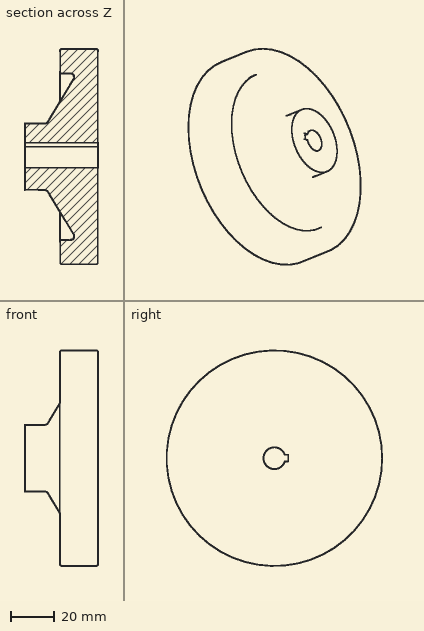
import cadquery as cq
import math

rim_radius = 50.0
rim_inner_radius = 38.5
rim_front = 16.2
back = 34.0
rim_edge_radius = 1.0

hub_radius = 15.5
hub_length = 10.2
cone_half_angle = 59.0
web_fillet = 1.5

bore_radius = 5.0
key_width = 3.0
key_reach = 6.4

cone_rise = rim_inner_radius - hub_radius
groove_depth = hub_length + cone_rise / math.tan(math.radians(cone_half_angle))


def circles_within(x, radius):
    """Select the circular edges at position x that are no larger than radius."""
    tolerance = 0.1
    low = (x - tolerance, -radius - tolerance, -radius - tolerance)
    high = (x + tolerance, radius + tolerance, radius + tolerance)
    return cq.selectors.BoxSelector(low, high, boundingbox=True)


def make_wheel():
    """Revolve the half section, drawn as (x, radius), about the X axis."""
    return (
        cq.Workplane("XY")
        .polyline([
            (0, 0),
            (0, hub_radius),
            (hub_length, hub_radius),
            (groove_depth, rim_inner_radius),
            (rim_front, rim_inner_radius),
            (rim_front, rim_radius),
            (back, rim_radius),
            (back, 0),
        ])
        .close()
        .revolve(360, (0, 0, 0), (1, 0, 0))
    )


def make_bore():
    """Through bore with a keyway on the +Y side."""
    bore = cq.Workplane("YZ").circle(bore_radius).extrude(back)
    keyway = cq.Workplane("YZ").center(key_reach / 2, 0).rect(key_reach, key_width).extrude(back)
    return bore.union(keyway)


wheel = make_wheel()

for x, radius in [(hub_length, hub_radius), (groove_depth, rim_inner_radius)]:
    wheel = wheel.edges(circles_within(x, radius)).fillet(web_fillet)

wheel = wheel.edges(circles_within(rim_front, rim_radius)).fillet(rim_edge_radius)
wheel = wheel.edges(circles_within(back, rim_radius)).fillet(rim_edge_radius)

result = wheel.cut(make_bore())